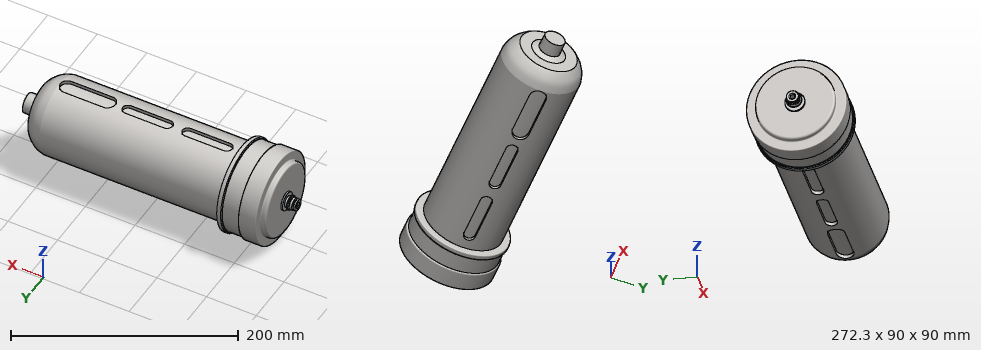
import cadquery as cq
import math

LENGTH = 272.3
CAP_X = 12.3
COLLAR_X = 17.7
COLLAR_END_X = 35.7
FLANGE_X = 52.0
FLANGE_END_X = 57.2
DOME_X = 239.5
DOME_MID_X = 249.2
DOME_END_X = 257.0
SPIGOT_X = 259.5
SPIGOT_LAND_X = 270.7

CAP_D = 72.0
COLLAR_D = 90.0
BAND_D = 86.9
TUBE_D = 75.7
SLOT_FLOOR_D = 69.0
DOME_MID_D = 69.2
DOME_END_D = 54.5
FOOT_D = 32.0
SPIGOT_ROOT_D = 20.2
SPIGOT_D = 19.3

CAP_FILLET = 2.0
CAP_ROOT_FILLET = 0.95
COLLAR_FRONT_FILLET = 0.8
FLANGE_CHAMFER = 0.8
COLLAR_END_FILLET = (COLLAR_D - BAND_D) / 2
FLANGE_END_FILLET = 1.0

STEM_D = 7.0
NIPPLE_RINGS = [
    (11.0, 0.0, 2.0),
    (11.7, 3.3, 5.7),
    (14.0, 6.5, 8.0),
    (11.0, 8.0, 10.5),
    (18.0, 10.5, CAP_X),
]
BORE_D = 4.0
BORE_MOUTH_D = 6.0
BORE_DEPTH = CAP_X

SLOTS = [
    (66.2, 50.0, 11.0),
    (126.3, 50.0, 11.0),
    (183.8, 55.5, 15.5),
]


def disc(diameter, start, end):
    """Solid cylinder on the X axis between two stations."""
    return cq.Workplane("YZ", origin=(start, 0, 0)).circle(diameter / 2).extrude(end - start)


def turn(half_profile):
    """Revolve a closed half profile (X along the axis, Y as radius) about the X axis."""
    return half_profile.revolve(360, (0, 0, 0), (1, 0, 0))


def make_nipple():
    nipple = disc(STEM_D, 0, CAP_X)
    for diameter, start, end in NIPPLE_RINGS:
        nipple = nipple.union(disc(diameter, start, end))
    return nipple


def make_bore():
    """Blind bore with a 45 degree countersink at the tip of the nipple."""
    mouth_depth = (BORE_MOUTH_D - BORE_D) / 2
    return turn(
        cq.Workplane("XY")
        .lineTo(0, BORE_MOUTH_D / 2)
        .lineTo(mouth_depth, BORE_D / 2)
        .lineTo(BORE_DEPTH, BORE_D / 2)
        .lineTo(BORE_DEPTH, 0)
        .close()
    )


def make_cap():
    """End cap with a rounded front edge and a small concave fillet against the collar."""
    radius = CAP_D / 2
    root = CAP_ROOT_FILLET
    diagonal = 1 - math.sqrt(0.5)
    return turn(
        cq.Workplane("XY")
        .moveTo(CAP_X, 0)
        .lineTo(CAP_X, radius - CAP_FILLET)
        .threePointArc(
            (CAP_X + CAP_FILLET * diagonal, radius - CAP_FILLET * diagonal),
            (CAP_X + CAP_FILLET, radius),
        )
        .lineTo(COLLAR_X - root, radius)
        .threePointArc(
            (COLLAR_X - root * diagonal, radius + root * diagonal),
            (COLLAR_X, radius + root),
        )
        .lineTo(COLLAR_X, 0)
        .close()
    )


def make_collar():
    """Collar, narrower band and flange."""
    collar = disc(COLLAR_D, COLLAR_X, COLLAR_END_X)
    collar = collar.faces("<X").edges().fillet(COLLAR_FRONT_FILLET)
    collar = collar.faces(">X").edges().fillet(COLLAR_END_FILLET)
    flange = disc(COLLAR_D, FLANGE_X, FLANGE_END_X)
    flange = flange.faces("<X").edges().chamfer(FLANGE_CHAMFER)
    flange = flange.faces(">X").edges().fillet(FLANGE_END_FILLET)
    band = disc(BAND_D, COLLAR_END_X, FLANGE_X)
    return collar.union(band).union(flange)


def make_tube():
    """Tube, domed end and slightly tapered spigot."""
    return turn(
        cq.Workplane("XY")
        .moveTo(FLANGE_X, 0)
        .lineTo(FLANGE_X, TUBE_D / 2)
        .lineTo(DOME_X, TUBE_D / 2)
        .threePointArc((DOME_MID_X, DOME_MID_D / 2), (DOME_END_X, DOME_END_D / 2))
        .lineTo(DOME_END_X, FOOT_D / 2)
        .lineTo(SPIGOT_X, SPIGOT_ROOT_D / 2)
        .lineTo(SPIGOT_LAND_X, SPIGOT_D / 2)
        .lineTo(LENGTH, SPIGOT_D / 2)
        .lineTo(LENGTH, 0)
        .close()
    )


def make_slots():
    """Slot cutters through top and underside, stopping at a round floor."""
    cutters = cq.Workplane("XY")
    for start, length, width in SLOTS:
        outline = cq.Workplane("XY").center(start + length / 2, 0).slot2D(length, width)
        cutters = cutters.union(outline.extrude(TUBE_D / 2, both=True))
    return cutters.cut(disc(SLOT_FLOOR_D, 0, LENGTH))


result = (
    make_nipple()
    .union(make_cap())
    .union(make_collar())
    .union(make_tube())
    .cut(make_slots())
    .cut(make_bore())
)